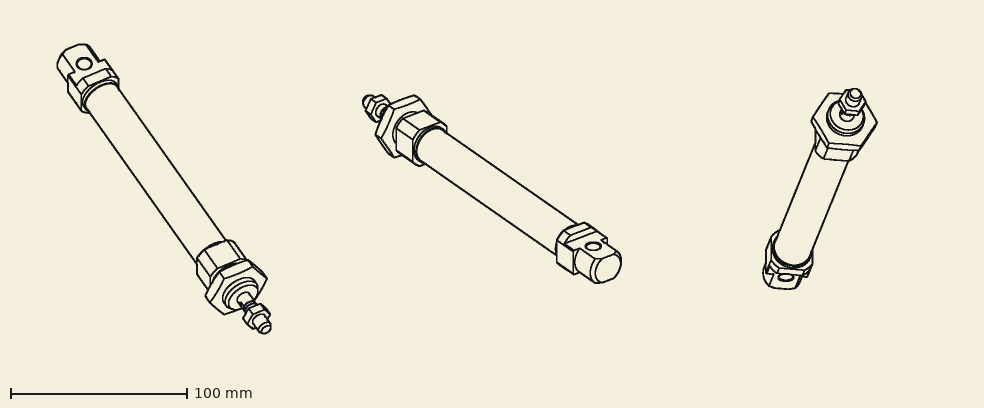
import cadquery as cq
import math

total_length = 229.0
tongue_step = 16.7
block_step = 25.9
rear_block_end = 32.5
barrel_start = 34.8
barrel_end = 167.5
front_block_start = 169.2
front_block_end = 185.0
collar_end = 202.0
big_nut_start = 190.0
big_nut_length = 6.9
small_nut_start = 215.3
small_nut_length = 5.0

block_width = 24.0
block_diameter = 28.2
neck_diameter = 22.5
barrel_diameter = 21.3
collar_diameter = 21.3
collar_taper_length = 2.0
collar_taper_depth = 1.1

tongue_diameter = 22.0
tongue_thickness = 16.0
tongue_chamfer = 2.0
pivot_diameter = 8.0
pivot_countersink = 0.5
pivot_x = 14.0

rod_diameter = 8.0
rod_tip_length = 1.8
rod_tip_depth = 1.0
groove_start = 209.3
groove_width = 1.8
groove_diameter = 7.5
flats_start = 205.9
flats_end = 210.5
flats_width = 7.0

big_nut_width = 32.0
small_nut_width = 13.0
big_nut_bevel_angle = math.radians(15)
half_side_angle = math.radians(30)


def rod_along_x(diameter, start, end):
    """Round bar on the X axis between two X positions."""
    return cq.Workplane("YZ", origin=(start, 0, 0)).circle(diameter / 2).extrude(end - start)


def tapered_bar(diameter, start, end, taper_length, taper_depth):
    """Round bar on the X axis whose +X end narrows by taper_depth on the radius."""
    radius = diameter / 2
    return (
        cq.Workplane("XY")
        .moveTo(start, 0)
        .lineTo(start, radius)
        .lineTo(end - taper_length, radius)
        .lineTo(end, radius - taper_depth)
        .lineTo(end, 0)
        .close()
        .revolve(360, (0, 0, 0), (1, 0, 0))
    )


def box_along_x(width, height, start, end):
    """Rectangular bar centred on the X axis, width along Y and height along Z."""
    return cq.Workplane("YZ", origin=(start, 0, 0)).rect(width, height).extrude(end - start)


def rounded_block(start, end):
    """Square block whose four long corners lie on one cylinder."""
    square = box_along_x(block_width, block_width, start, end)
    return square.intersect(rod_along_x(block_diameter, start, end))


def hexagon(width, start, length):
    """Hexagonal prism with flats facing +Z and -Z and corners at +Y and -Y."""
    corner_diameter = width / math.cos(half_side_angle)
    return cq.Workplane("YZ", origin=(start, 0, 0)).polygon(6, corner_diameter).extrude(length)


def make_pivot_hole_side():
    """Upper half of the pivot hole, flared by a countersink at the tongue's top flat."""
    hole_radius = pivot_diameter / 2
    rim_radius = hole_radius + pivot_countersink
    top_z = tongue_thickness / 2
    return (
        cq.Workplane("XZ", origin=(pivot_x, 0, 0))
        .lineTo(hole_radius, 0)
        .lineTo(hole_radius, top_z - pivot_countersink)
        .lineTo(rim_radius, top_z)
        .lineTo(0, top_z)
        .close()
        .revolve(360, (0, 0, 0), (0, 1, 0))
    )


def make_rear_cap():
    """Flattened tongue with a pivot hole, a square block and a neck against the barrel."""
    tongue = rod_along_x(tongue_diameter, 0, tongue_step).faces("<X").edges().chamfer(tongue_chamfer)
    shoulders = rounded_block(tongue_step, block_step)
    slab = box_along_x(block_width, tongue_thickness, 0, block_step)
    tongue = tongue.union(shoulders).intersect(slab)
    block = rounded_block(block_step, rear_block_end)
    neck = rod_along_x(neck_diameter, rear_block_end, barrel_start)
    cap = tongue.union(block).union(neck).cut(make_pivot_hole_side())
    return cap.cut(make_pivot_hole_side().mirror("XY"))


def make_front_cap():
    """Neck, square block and round nose collar, bored through for the piston rod."""
    neck = rod_along_x(neck_diameter, barrel_end, front_block_start)
    block = rounded_block(front_block_start, front_block_end)
    collar = tapered_bar(
        collar_diameter, front_block_end, collar_end, collar_taper_length, collar_taper_depth
    )
    rod_bore = rod_along_x(rod_diameter, barrel_end, collar_end)
    return neck.union(block).union(collar).cut(rod_bore)


def make_wrench_flat():
    """Cutter for the wrench flat on the +Y side, wider towards the outside at both ends."""
    flat_y = flats_width / 2
    cut_depth = (rod_diameter - flats_width) / 2
    return (
        cq.Workplane("XY")
        .moveTo(flats_start, flat_y)
        .lineTo(flats_end, flat_y)
        .lineTo(flats_end + cut_depth, flat_y + cut_depth)
        .lineTo(flats_start - cut_depth, flat_y + cut_depth)
        .close()
        .extrude(rod_diameter / 2, both=True)
    )


def make_piston_rod():
    """Rod with a tapered tip, a relief groove and two opposite wrench flats."""
    rod = tapered_bar(rod_diameter, barrel_end, total_length, rod_tip_length, rod_tip_depth)
    groove_end = groove_start + groove_width
    groove_core = rod_along_x(groove_diameter, groove_start, groove_end)
    groove = rod_along_x(rod_diameter, groove_start, groove_end).cut(groove_core)
    flat = make_wrench_flat()
    return rod.cut(groove).cut(flat).cut(flat.mirror("XZ"))


def make_barrel():
    return rod_along_x(barrel_diameter, barrel_start, barrel_end)


def make_big_nut():
    """Mounting nut on the front collar, with its corners bevelled on both faces."""
    nut = hexagon(big_nut_width, big_nut_start, big_nut_length)
    corner_radius = big_nut_width / 2 / math.cos(half_side_angle)
    face_radius = big_nut_width / 2
    bevel = (corner_radius - face_radius) * math.tan(big_nut_bevel_angle)
    big_nut_end = big_nut_start + big_nut_length
    envelope = (
        cq.Workplane("XY")
        .moveTo(big_nut_start, 0)
        .lineTo(big_nut_start, face_radius)
        .lineTo(big_nut_start + bevel, corner_radius)
        .lineTo(big_nut_end - bevel, corner_radius)
        .lineTo(big_nut_end, face_radius)
        .lineTo(big_nut_end, 0)
        .close()
        .revolve(360, (0, 0, 0), (1, 0, 0))
    )
    return nut.intersect(envelope).cut(rod_along_x(collar_diameter, big_nut_start, big_nut_end))


def make_small_nut():
    """Lock nut on the piston rod."""
    nut = hexagon(small_nut_width, small_nut_start, small_nut_length)
    return nut.cut(rod_along_x(rod_diameter, small_nut_start, small_nut_start + small_nut_length))


rear_cap = make_rear_cap()
barrel = make_barrel()
front_cap = make_front_cap()
piston_rod = make_piston_rod()
big_nut = make_big_nut()
small_nut = make_small_nut()

bodies = [rear_cap, barrel, front_cap, piston_rod, big_nut, small_nut]
result = cq.Compound.makeCompound([body.val() for body in bodies])